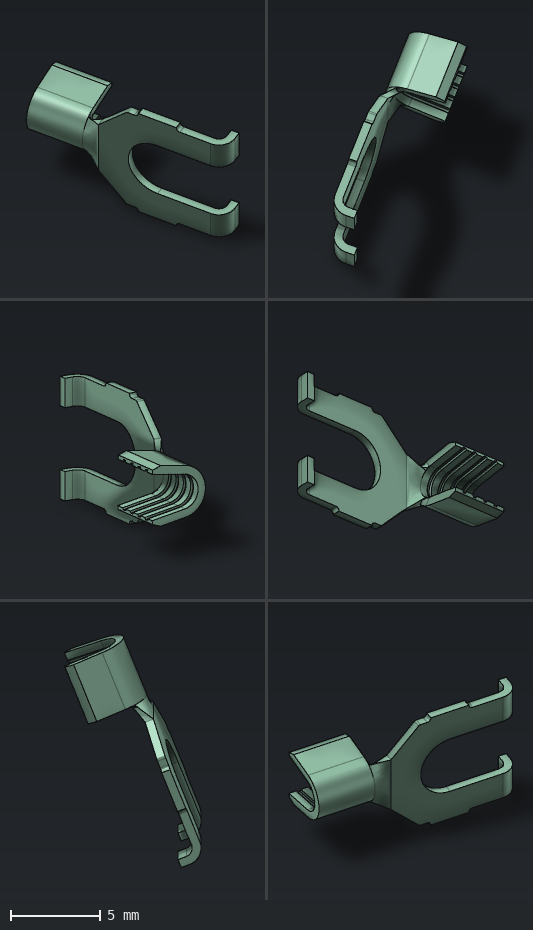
import cadquery as cq
import math

length = 12.7
sheet = 0.51

barrel_length = 3.55
barrel_height = 3.55
barrel_radius = 1.52
bore_radius = barrel_radius - sheet
flare_angle = math.radians(9.0)
bevel_start = 3.0
tip_width = 0.24
tip_lean = 0.04

groove_count = 4
groove_pitch = 0.76
first_groove = 0.61
groove_floor = 0.15
groove_mouth = 0.28
groove_depth = 0.11

neck_end = 4.57
neck_half_angle = math.radians(58.0)
neck_fillet = 0.32
wide_neck_ratio = 1.4

neck_half_width = 1.78
arm_half_width = 3.58
shoulder_x = 6.38
tab_half_width = 3.82
tab_start = 7.1
tab_end = 9.52
tab_fillet = 0.23
shoulder_fillet = 0.17
slot_radius = 1.85
slot_bottom = 6.48

hook_height = 1.52
bend_inner_radius = 0.51
bend_outer_radius = bend_inner_radius + sheet


def polar(radius, angle):
    """(Y, Z) point on a circle about the barrel axis; angle 0 is the bottom of the U."""
    return (barrel_radius - radius * math.cos(angle), radius * math.sin(angle))


def mirrored(point):
    return (point[0], -point[1])


def flange_z(radius, y):
    """Half width at height y of the flange face tangent to the given radius."""
    return (radius + (y - barrel_radius) * math.sin(flare_angle)) / math.cos(flare_angle)


def u_section(radius, x, tip_points):
    """Filled U section at position x, closed across its mouth through the +Z tip points."""
    tangent = polar(radius, math.pi / 2 - flare_angle)
    profile = cq.Workplane("YZ", origin=(x, 0, 0)).moveTo(*tangent)
    for point in tip_points:
        profile = profile.lineTo(*point)
    for point in reversed(tip_points):
        profile = profile.lineTo(*mirrored(point))
    profile = profile.lineTo(*mirrored(tangent))
    return profile.threePointArc(polar(radius, 0), tangent).close()


def bore_section(radius, x):
    """U section reaching beyond the flange tips, for cutting the inside of the barrel."""
    top = barrel_height + sheet
    return u_section(radius, x, [(top, flange_z(radius, top))])


def make_barrel():
    bevel_base = (bevel_start, flange_z(barrel_radius, bevel_start))
    inner_tip = (barrel_height, flange_z(bore_radius, barrel_height))
    outer_tip = (barrel_height - tip_lean, inner_tip[1] + tip_width)
    barrel = u_section(barrel_radius, 0, [bevel_base, outer_tip, inner_tip]).extrude(barrel_length)
    return barrel.cut(bore_section(bore_radius, 0).extrude(barrel_length))


def make_groove(center_x):
    """Trapezoidal groove following the whole inside of the U."""
    floor_radius = bore_radius + groove_depth
    stations = [
        (center_x - groove_mouth / 2, bore_radius),
        (center_x - groove_floor / 2, floor_radius),
        (center_x + groove_floor / 2, floor_radius),
        (center_x + groove_mouth / 2, bore_radius),
    ]
    wires = [bore_section(radius, x).val() for x, radius in stations]
    return cq.Workplane(cq.Solid.makeLoft(wires, True))


def make_neck(spread=1.0):
    """Ruled transition from an arc of the barrel wall to the flat sheet, its width scaled by spread."""
    half_angle = neck_half_angle * spread
    half_width = neck_half_width * spread
    outer = polar(barrel_radius, half_angle)
    inner = polar(bore_radius, half_angle)
    arc_end = (
        cq.Workplane("YZ", origin=(barrel_length, 0, 0))
        .moveTo(*mirrored(outer))
        .threePointArc((0, 0), outer)
        .lineTo(*inner)
        .threePointArc((sheet, 0), mirrored(inner))
        .close()
    )
    flat_end = (
        cq.Workplane("YZ", origin=(neck_end, 0, 0))
        .moveTo(0, -half_width)
        .lineTo(0, half_width)
        .lineTo(sheet, half_width)
        .lineTo(sheet, -half_width)
        .close()
    )
    return cq.Workplane(cq.Solid.makeLoft([arc_end.val(), flat_end.val()], True))


def make_fork():
    """Side profile of sheet and hook, trimmed to the outline of the fork."""
    bend_start = length - bend_outer_radius
    diagonal = math.sqrt(0.5)
    side = (
        cq.Workplane("XY", origin=(0, 0, -tab_half_width))
        .moveTo(neck_end, 0)
        .lineTo(bend_start, 0)
        .threePointArc(
            (bend_start + bend_outer_radius * diagonal, bend_outer_radius * (1 - diagonal)),
            (length, bend_outer_radius),
        )
        .lineTo(length, hook_height)
        .lineTo(length - sheet, hook_height)
        .lineTo(length - sheet, bend_outer_radius)
        .threePointArc(
            (bend_start + bend_inner_radius * diagonal, bend_outer_radius - bend_inner_radius * diagonal),
            (bend_start, sheet),
        )
        .lineTo(neck_end, sheet)
        .close()
        .extrude(2 * tab_half_width)
    )
    upper_edge = [
        (neck_end, neck_half_width),
        (shoulder_x, arm_half_width),
        (tab_start, arm_half_width),
        (tab_start, tab_half_width),
        (tab_end, tab_half_width),
        (tab_end, arm_half_width),
        (length, arm_half_width),
    ]
    lower_edge = [(x, -z) for x, z in reversed(upper_edge)]
    outline = cq.Workplane("XZ").polyline(upper_edge + lower_edge).close().extrude(-hook_height)
    margin = 0.01
    tab_roots = cq.selectors.BoxSelector(
        (tab_start - tab_fillet, -sheet, -arm_half_width - margin),
        (tab_end + tab_fillet, hook_height + sheet, arm_half_width + margin),
    )
    outline = outline.edges("|Y").edges(tab_roots).fillet(tab_fillet)
    for z in (arm_half_width, -arm_half_width):
        shoulder = cq.selectors.NearestToPointSelector((shoulder_x, hook_height / 2, z))
        outline = outline.edges("|Y").edges(shoulder).fillet(shoulder_fillet)
    slot_center = slot_bottom + slot_radius
    slot = (
        cq.Workplane("XZ")
        .moveTo(length, slot_radius)
        .lineTo(slot_center, slot_radius)
        .threePointArc((slot_bottom, 0), (slot_center, -slot_radius))
        .lineTo(length, -slot_radius)
        .close()
        .extrude(-hook_height)
    )
    return side.intersect(outline).cut(slot)


def corner_profile(radius, flat_y):
    """Fillet triangle at one wall radius; flat_y is where that edge of the neck meets the sheet."""
    corner = polar(radius, neck_half_angle)
    outward = (0, -math.cos(neck_half_angle), math.sin(neck_half_angle))
    plane = cq.Plane(origin=(barrel_length, *corner), xDir=(1, 0, 0), normal=outward)
    rise_to_flat = (flat_y - corner[0]) * math.sin(neck_half_angle)
    rise_to_flat += (neck_half_width - corner[1]) * math.cos(neck_half_angle)
    end_y = rise_to_flat * neck_fillet / (neck_end - barrel_length)
    middle = neck_fillet * (1 - math.sqrt(0.5))
    return (
        cq.Workplane(plane)
        .moveTo(0, neck_fillet)
        .threePointArc((middle, middle + end_y / 2), (neck_fillet, end_y))
        .lineTo(neck_fillet, -neck_fillet)
        .lineTo(0, -neck_fillet)
        .close()
        .val()
    )


def make_corner_fillet():
    """Concave corner on +Z between the end face of the barrel and the edge of the neck."""
    profiles = [corner_profile(barrel_radius, 0), corner_profile(bore_radius, sheet)]
    mitre = cq.Workplane(cq.Solid.makeLoft(profiles, True))
    return mitre.intersect(make_neck(wide_neck_ratio))


barrel = make_barrel()
for index in range(groove_count):
    barrel = barrel.cut(make_groove(first_groove + index * groove_pitch))

corner_fillet = make_corner_fillet()
neck = make_neck().union(corner_fillet).union(corner_fillet.mirror("XY"))
result = barrel.union(neck).union(make_fork())